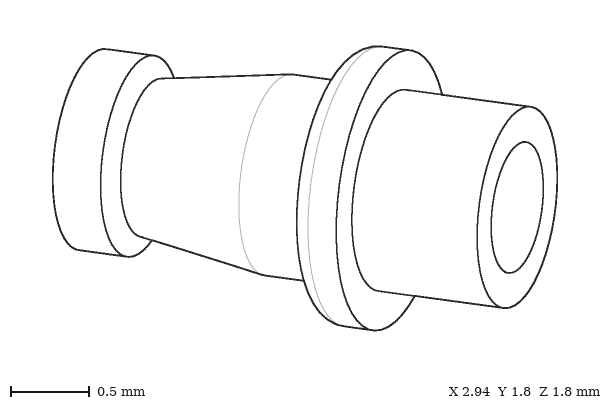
import cadquery as cq

length = 2.94
tip_end = 0.332
neck_start = 0.412
taper_end = 1.288
flange_start = 1.717
flange_end = 2.073
rim_width = 0.197
rim_start = flange_end - rim_width

body_radius = 0.647
neck_radius = 0.51
bore_radius = 0.42
flange_radius = 0.9
face_radius = 0.805
face_depth = 0.045

round_start = flange_start + face_depth
round_drop = flange_radius - face_radius
round_run = rim_start - round_start
round_radius = (round_run**2 + round_drop**2) / (2 * round_drop)
round_mid_x = rim_start - round_run / 2
round_mid_radius = flange_radius - round_radius + (round_radius**2 - (round_run / 2) ** 2) ** 0.5

half_section = (
    cq.Workplane("XZ")
    .moveTo(0, bore_radius)
    .lineTo(0, body_radius)
    .lineTo(tip_end, body_radius)
    .lineTo(neck_start, neck_radius)
    .lineTo(taper_end, body_radius)
    .lineTo(flange_start, body_radius)
    .lineTo(round_start, face_radius)
    .threePointArc((round_mid_x, round_mid_radius), (rim_start, flange_radius))
    .lineTo(flange_end, flange_radius)
    .lineTo(flange_end, body_radius)
    .lineTo(length, body_radius)
    .lineTo(length, bore_radius)
    .close()
)
result = half_section.revolve(360, (0, 0, 0), (1, 0, 0))